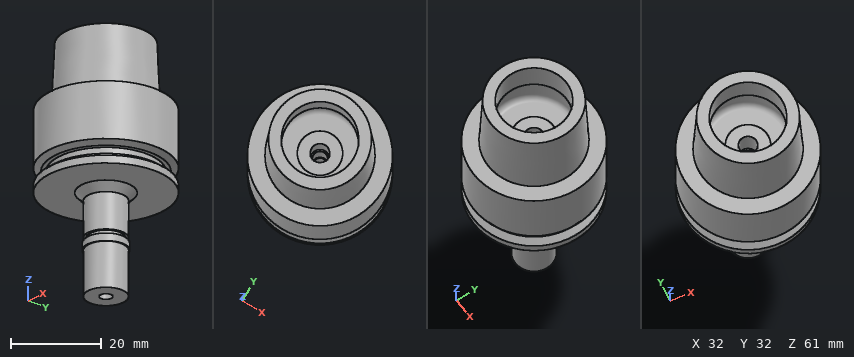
import cadquery as cq

total_height = 61.0

collar_diameter = 32.0
collar_radius = collar_diameter / 2
collar_top = 44.95
collar_bottom = 31.0
groove_top = 30.1
groove_bottom = 28.1
flange_top = 26.95
holder_bottom = 25.1
groove_mouth_radius = 14.4
groove_floor_radius = 13.3

taper_base_radius = 12.15
taper_tip_radius = 11.35

socket_radius = 8.55
lip_depth = 6.5
undercut_radius = 10.25
undercut_wall_depth = 12.7
floor_fillet = 1.45
lip_height = total_height - lip_depth
socket_floor = total_height - undercut_wall_depth - floor_fillet

stem_radius = 5.0
shoulder_radius = 6.9
shoulder_bottom = 23.1
neck_radius = 4.4
neck_top = 14.1

bore_radius = 1.5
middle_step_radius = 1.7
middle_step_depth = 12.2
top_step_radius = 2.15
top_step_depth = 6.1

ring_radius = 5.25
ring_top = 13.0
ring_bottom = 11.15


def cylinder(radius, bottom, top):
    """Cylinder about the Z axis between two heights."""
    return cq.Workplane("XY").workplane(offset=bottom).circle(radius).extrude(top - bottom)


def revolve_profile(points):
    """Revolve (radius, height) points about the Z axis."""
    return cq.Workplane("XZ").polyline(points).close().revolve(360, (0, 0), (0, 1))


def make_socket():
    """Solid shape of the hollow inside the holder's shank."""
    undercut = cylinder(undercut_radius, socket_floor, lip_height)
    undercut = undercut.faces("<Z").edges().fillet(floor_fillet)
    return undercut.union(cylinder(socket_radius, lip_height, total_height))


def make_holder():
    """Tapered hollow shank, grooved collar and a through hole for the stem."""
    outside = revolve_profile([
        (0, holder_bottom),
        (collar_radius, holder_bottom),
        (collar_radius, flange_top),
        (groove_mouth_radius, groove_bottom),
        (groove_floor_radius, groove_bottom),
        (groove_floor_radius, groove_top),
        (groove_mouth_radius, groove_top),
        (collar_radius, collar_bottom),
        (collar_radius, collar_top),
        (taper_base_radius, collar_top),
        (taper_tip_radius, total_height),
        (0, total_height),
    ])
    stem_hole = cylinder(stem_radius, holder_bottom, socket_floor)
    return outside.cut(make_socket()).cut(stem_hole)


def make_stem():
    """Stem flush with the socket floor, shouldered, necked and bored through."""
    outside = revolve_profile([
        (0, 0),
        (stem_radius, 0),
        (stem_radius, ring_bottom),
        (neck_radius, ring_bottom),
        (neck_radius, neck_top),
        (stem_radius, neck_top),
        (stem_radius, shoulder_bottom),
        (shoulder_radius, holder_bottom),
        (stem_radius, holder_bottom),
        (stem_radius, socket_floor),
        (0, socket_floor),
    ])
    bore = cylinder(bore_radius, 0, socket_floor)
    middle_step = cylinder(middle_step_radius, socket_floor - middle_step_depth, socket_floor)
    top_step = cylinder(top_step_radius, socket_floor - top_step_depth, socket_floor)
    return outside.cut(bore).cut(middle_step).cut(top_step)


def make_ring():
    """Retaining ring that fills the lower part of the stem's neck."""
    outside = cylinder(ring_radius, ring_bottom, ring_top)
    opening = cylinder(neck_radius, ring_bottom, ring_top)
    return outside.cut(opening)


holder = make_holder()
stem = make_stem()
ring = make_ring()

result = cq.Compound.makeCompound([holder.val(), stem.val(), ring.val()])